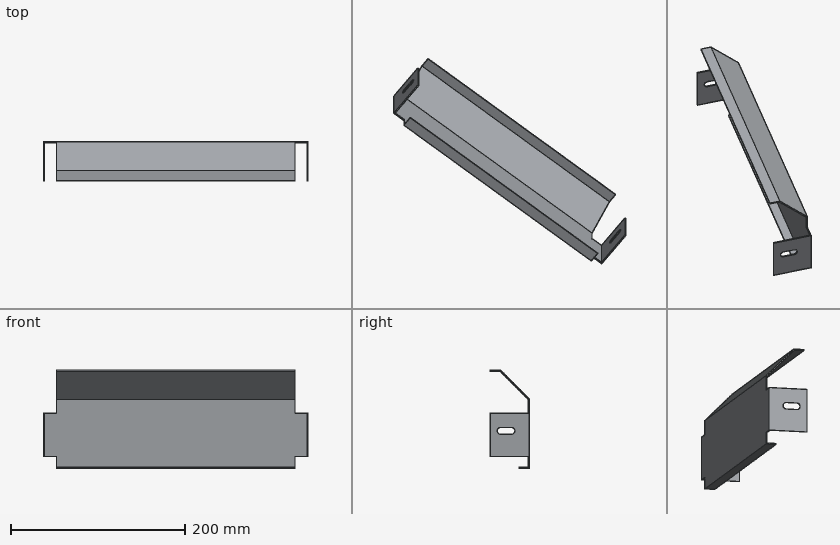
import cadquery as cq
import math

length = 304.0
depth = 45.0
height = 113.0
sheet = 1.5

body_length = 274.0
lip = 12.0
slope_run = depth - lip
bend_z = height - slope_run

tab_height = 50.0
tab_z = 13.7
slot_length = 20.0
slot_width = 7.5
slot_from_back = 26.8
slot_z = 43.2

bend_shift = sheet * math.tan(math.radians(45 / 2))


def folded_body():
    """Bottom lip, back wall, 45 degree wall and top lip; the back face lies at Y = 0."""
    profile = [
        (-lip, 0),
        (0, 0),
        (0, bend_z),
        (-slope_run, height),
        (-depth, height),
        (-depth, height - sheet),
        (-slope_run - bend_shift, height - sheet),
        (-sheet, bend_z - bend_shift),
        (-sheet, sheet),
        (-lip, sheet),
    ]
    return cq.Workplane("YZ").polyline(profile).close().extrude(body_length / 2, both=True)


def end_tabs():
    """Channel whose back strip runs the full length and whose ends fold forward."""
    strip = cq.Workplane("XY").box(length, sheet, tab_height, centered=(True, False, False))
    tabs = strip.translate((0, -sheet, tab_z))
    for end_x in (-length / 2, length / 2 - sheet):
        plate = cq.Workplane("XY").box(sheet, depth, tab_height, centered=False)
        tabs = tabs.union(plate.translate((end_x, -depth, tab_z)))
    return tabs


def slots():
    """Round-ended slot through both end tabs."""
    return (
        cq.Workplane("YZ")
        .center(-slot_from_back, slot_z)
        .slot2D(slot_length, slot_width)
        .extrude(length, both=True)
    )


result = folded_body().union(end_tabs()).cut(slots())